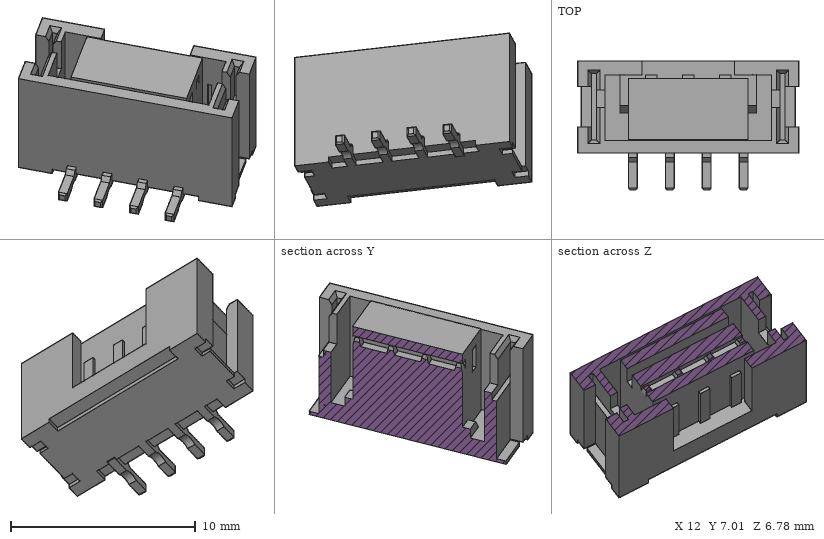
import cadquery as cq


LENGTH = 12.0
DEPTH = 5.0
HEIGHT = 6.6
CAVITY_LENGTH = 9.02
CAVITY_FRONT = 0.67
CAVITY_BACK = 4.24
FLOOR_Z = 1.2

STEP_LENGTH = 7.42
STEP_TOP_Z = 1.8
STEP_FRONT = 2.57
RAMP_FRONT = 2.18
BACK_OPENING_LENGTH = 5.0

GROOVE_WIDTH = 0.23
GROOVE_DEPTH = 0.24
GROOVE_TOP_Z = HEIGHT - 1.97

HALF_LENGTH = LENGTH / 2
RECESS_FRONT = 1.42
RECESS_BACK = 3.6
SLOT_OUTER_X = HALF_LENGTH - 0.75
SLOT_WIDTH = 0.28
SLOT_INNER_X = SLOT_OUTER_X - SLOT_WIDTH
SLOT_FRONT = 0.71
SLOT_BACK = 4.31
SLOT_CHAMFER = 0.19
SLOT_CHAMFER_DEPTH = 0.3
TAB_TOP_Z = HEIGHT - 2.47
TAB_FOOT_X = HALF_LENGTH - 0.19
TAB_FOOT_THICKNESS = 0.25
SLIT_FRONT = 2.48
SLIT_BACK = 3.42
SLIT_DEPTH = 2.0

LEG_HEIGHT = 0.3
LEG_GAP_X = 8.21
LEG_GAP_FRONT = 0.75
LEG_GAP_BACK = 4.24

PIN_COUNT = 4
PITCH = LENGTH / 6
PIN_WIDTH = 0.49
PIN_BACK = 3.35
PIN_TIP_WIDTH = 0.23
PIN_TIP_HEIGHT = 0.49
LOW_PIN_DROP = 0.07
FOOT_INNER_Y = 0.94
FOOT_OUTER_Y = DEPTH - 7.01
FOOT_ROOT_HEIGHT = 0.8
FOOT_HEIGHT = 0.55
BEND_START_Y = -0.25
BEND_END_Y = -0.48
ARCH_INNER_Y = -0.15
ARCH_OUTER_Y = -1.01
ARCH_RISE = 0.15
FOOT_CHAMFER_LENGTH = 0.11
FOOT_CHAMFER = 0.1

CORE_LENGTH = (PIN_COUNT - 1) * PITCH + PIN_WIDTH
CORE_FRONT = 0.75
CORE_BACK = 4.05
CORE_RISE = 0.11
TUNNEL_BOTTOM_Z = HEIGHT - 1.12
TUNNEL_HEIGHT = 0.58
TUNNEL_SPACING = 1.42
FRONT_TUNNEL_BOTTOM_Z = HEIGHT - SLIT_DEPTH
RIB_TOP_Z = HEIGHT - SLIT_DEPTH
FRONT_RIB_WIDTH = 0.26
BACK_RIB_WIDTH = 0.61


def block(x0, x1, y0, y1, z0, z1):
    """Box between two opposite corners, given as pairs of limits."""
    return cq.Workplane("XY").box(x1 - x0, y1 - y0, z1 - z0, centered=False).translate((x0, y0, z0))


def centred_block(length, y0, y1, z0, z1, x=0):
    """Box with its X extent centred on x."""
    return block(x - length / 2, x + length / 2, y0, y1, z0, z1)


def tapered_block(x, y, z, bottom, top, height):
    """Frustum of a rectangular pyramid centred on (x, y), standing at height z."""
    return (
        cq.Workplane("XY", origin=(x, y, z))
        .rect(*bottom)
        .workplane(offset=height)
        .rect(*top)
        .loft(combine=True)
    )


def both_ends(solid):
    """A solid at the +X end together with its mirror image at the -X end."""
    return solid.union(solid.mirror("YZ"))


def make_shell():
    """Housing with its cavity, floor step, back opening, grooves and underside clearance."""
    shell = centred_block(LENGTH, 0, DEPTH, 0, HEIGHT)
    shell = shell.cut(centred_block(CAVITY_LENGTH, CAVITY_FRONT, CAVITY_BACK, FLOOR_Z, HEIGHT))
    step = (
        cq.Workplane("YZ", origin=(-STEP_LENGTH / 2, 0, 0))
        .moveTo(RAMP_FRONT, FLOOR_Z)
        .lineTo(STEP_FRONT, STEP_TOP_Z)
        .lineTo(CAVITY_BACK, STEP_TOP_Z)
        .lineTo(CAVITY_BACK, FLOOR_Z)
        .close()
        .extrude(STEP_LENGTH)
    )
    shell = shell.union(step)
    shell = shell.cut(centred_block(BACK_OPENING_LENGTH, CAVITY_BACK, DEPTH, STEP_TOP_Z, HEIGHT))
    groove_x = STEP_LENGTH / 2 - GROOVE_WIDTH
    groove_back = CAVITY_BACK + GROOVE_DEPTH
    groove = block(groove_x, STEP_LENGTH / 2, CAVITY_BACK, groove_back, STEP_TOP_Z, GROOVE_TOP_Z)
    shell = shell.cut(both_ends(groove))
    side_notch = block(SLOT_OUTER_X, HALF_LENGTH, LEG_GAP_FRONT, LEG_GAP_BACK, 0, LEG_HEIGHT)
    shell = shell.cut(both_ends(side_notch))
    shell = shell.cut(centred_block(LEG_GAP_X, 0, LEG_GAP_FRONT, 0, LEG_HEIGHT))
    return shell.cut(centred_block(LEG_GAP_X, LEG_GAP_BACK, DEPTH, 0, LEG_HEIGHT))


def make_end_cuts():
    """Recess, chamfered slot and inner slit in each end wall."""
    recess = block(SLOT_OUTER_X, HALF_LENGTH, RECESS_FRONT, RECESS_BACK, 0, HEIGHT)
    slot = block(SLOT_INNER_X, SLOT_OUTER_X, SLOT_FRONT, SLOT_BACK, TAB_TOP_Z, HEIGHT)
    slot_length = SLOT_BACK - SLOT_FRONT
    slot_mouth = tapered_block(
        (SLOT_INNER_X + SLOT_OUTER_X) / 2,
        (SLOT_FRONT + SLOT_BACK) / 2,
        HEIGHT - SLOT_CHAMFER_DEPTH,
        (SLOT_WIDTH, slot_length),
        (SLOT_WIDTH + 2 * SLOT_CHAMFER, slot_length + 2 * SLOT_CHAMFER),
        SLOT_CHAMFER_DEPTH,
    )
    slit = block(CAVITY_LENGTH / 2, SLOT_INNER_X, SLIT_FRONT, SLIT_BACK, HEIGHT - SLIT_DEPTH, HEIGHT)
    return both_ends(recess.union(slot).union(slot_mouth).union(slit))


def make_anchor_tabs():
    """Plates standing in the end slots, each with a foot turned outwards at the bottom."""
    plate = block(SLOT_INNER_X, SLOT_OUTER_X, RECESS_FRONT, RECESS_BACK, 0, TAB_TOP_Z)
    foot = block(SLOT_INNER_X, TAB_FOOT_X, RECESS_FRONT, RECESS_BACK, 0, TAB_FOOT_THICKNESS)
    return both_ends(plate.union(foot))


def make_core():
    """Core with two tunnels along X, pin tips in the rear one and locating ribs between the pins."""
    core = centred_block(CORE_LENGTH, CORE_FRONT, CORE_BACK, FLOOR_Z, HEIGHT + CORE_RISE)
    tunnel_top_z = TUNNEL_BOTTOM_Z + TUNNEL_HEIGHT
    tunnels = [(PIN_BACK, TUNNEL_BOTTOM_Z), (PIN_BACK - TUNNEL_SPACING, FRONT_TUNNEL_BOTTOM_Z)]
    for back, bottom_z in tunnels:
        core = core.cut(centred_block(CORE_LENGTH, back - PIN_WIDTH, back, bottom_z, tunnel_top_z))
    for x in pin_positions(PIN_COUNT):
        tip = tapered_block(
            x,
            PIN_BACK - PIN_WIDTH / 2,
            TUNNEL_BOTTOM_Z,
            (PIN_WIDTH, PIN_WIDTH),
            (PIN_TIP_WIDTH, PIN_TIP_WIDTH),
            PIN_TIP_HEIGHT,
        )
        core = core.union(tip)
    for x in pin_positions(PIN_COUNT - 1):
        core = core.union(centred_block(FRONT_RIB_WIDTH, CAVITY_FRONT, CORE_FRONT, FLOOR_Z, RIB_TOP_Z, x))
        core = core.union(centred_block(BACK_RIB_WIDTH, CORE_BACK, CAVITY_BACK, FLOOR_Z, RIB_TOP_Z, x))
    return core


def pin_positions(count):
    """X positions of a centred row at the contact pitch."""
    return [(i - (count - 1) / 2) * PITCH for i in range(count)]


def make_foot(x, z):
    """Solder foot of one contact: cranked on top, arched underneath, with a bevelled outer end."""
    shaft_end_y = FOOT_OUTER_Y + FOOT_CHAMFER_LENGTH
    shaft = (
        cq.Workplane("YZ", origin=(x - PIN_WIDTH / 2, 0, z))
        .moveTo(FOOT_INNER_Y, 0)
        .lineTo(FOOT_INNER_Y, FOOT_ROOT_HEIGHT)
        .lineTo(BEND_START_Y, FOOT_ROOT_HEIGHT)
        .lineTo(BEND_END_Y, FOOT_HEIGHT)
        .lineTo(shaft_end_y, FOOT_HEIGHT)
        .lineTo(shaft_end_y, 0)
        .lineTo(ARCH_OUTER_Y, 0)
        .threePointArc(((ARCH_INNER_Y + ARCH_OUTER_Y) / 2, ARCH_RISE), (ARCH_INNER_Y, 0))
        .close()
        .extrude(PIN_WIDTH)
    )
    end = (
        cq.Workplane("XZ", origin=(x, shaft_end_y, z + FOOT_HEIGHT / 2))
        .rect(PIN_WIDTH, FOOT_HEIGHT)
        .workplane(offset=FOOT_CHAMFER_LENGTH)
        .rect(PIN_WIDTH - 2 * FOOT_CHAMFER, FOOT_HEIGHT - 2 * FOOT_CHAMFER)
        .loft(combine=True)
    )
    return shaft.union(end)


result = make_shell().cut(make_end_cuts()).union(make_anchor_tabs()).union(make_core())

foot_levels = [0] * (PIN_COUNT - 1) + [-LOW_PIN_DROP]
for foot_x, foot_z in zip(pin_positions(PIN_COUNT), foot_levels):
    result = result.union(make_foot(foot_x, foot_z))